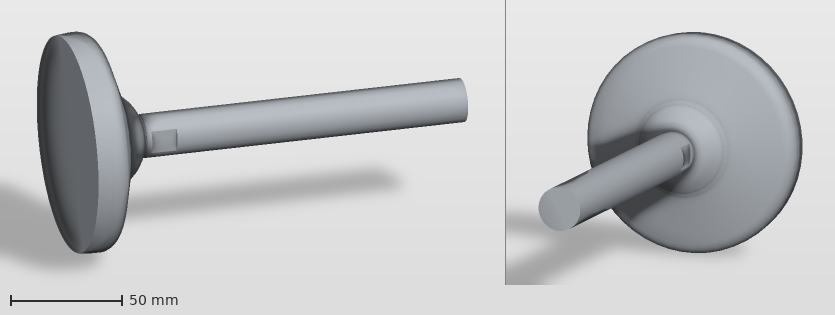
import cadquery as cq
import math

TOTAL_LENGTH = 185.0

SOLE_RADIUS = 49.4
BASE_DIAMETER = 100.0
BASE_RADIUS = BASE_DIAMETER / 2
SKIRT_HEIGHT = 6.3
BAND_TOP = 9.0
CONE_ANGLE = math.radians(20)
CONE_TOP_RADIUS = 22.4
CONE_TOP_HEIGHT = 23.9
SEAT_RADIUS = 20.4
SEAT_HEIGHT = 25.2

SHOULDER_ARC_RADIUS = (
    (CONE_TOP_HEIGHT - BAND_TOP) * math.cos(CONE_ANGLE)
    - (BASE_RADIUS - CONE_TOP_RADIUS) * math.sin(CONE_ANGLE)
) / (1 - math.sin(CONE_ANGLE))
SHOULDER_RADIUS = BASE_RADIUS - SHOULDER_ARC_RADIUS * (1 - math.sin(CONE_ANGLE))
SHOULDER_HEIGHT = BAND_TOP + SHOULDER_ARC_RADIUS * math.cos(CONE_ANGLE)

ROD_RADIUS = 10.0
NECK_RADIUS = 9.5
DOME_TOP = 33.7
NECK_TOP = 34.5
ROD_RIM_RADIUS = 9.8
ROD_TAPER_LENGTH = 0.7
DOME_SPHERE_RADIUS = 25.0

FLAT_BOTTOM = 36.8
FLAT_LENGTH = 11.8
ACROSS_FLATS = 17.0


def revolve_about_y(outline):
    """Turn a closed half profile into a solid around the Y axis."""
    return outline.close().revolve(360, (0, 0, 0), (0, 1, 0))


def make_base():
    """Conical base plate with a rounded shoulder and a flat central seat."""
    outline = (
        cq.Workplane("XY")
        .lineTo(SOLE_RADIUS, 0)
        .lineTo(BASE_RADIUS, SKIRT_HEIGHT)
        .lineTo(BASE_RADIUS, BAND_TOP)
        .tangentArcPoint((SHOULDER_RADIUS, SHOULDER_HEIGHT), relative=False)
        .lineTo(CONE_TOP_RADIUS, CONE_TOP_HEIGHT)
        .lineTo(SEAT_RADIUS, SEAT_HEIGHT)
        .lineTo(0, SEAT_HEIGHT)
    )
    return revolve_about_y(outline)


def make_wrench_flat_cutters():
    """Two blocks that leave parallel flats facing -X and +X."""
    cutter_depth = ROD_RADIUS
    cutter_offset = (ACROSS_FLATS + cutter_depth) / 2
    return (
        cq.Workplane("XY")
        .pushPoints([
            (side * cutter_offset, FLAT_BOTTOM + FLAT_LENGTH / 2)
            for side in (-1, 1)
        ])
        .rect(cutter_depth, FLAT_LENGTH)
        .extrude(ROD_RADIUS, both=True)
    )


def make_stud():
    """Rod with a spherical dome foot, a short neck and wrench flats."""
    outline = (
        cq.Workplane("XY")
        .moveTo(0, SEAT_HEIGHT)
        .lineTo(SEAT_RADIUS, SEAT_HEIGHT)
        .radiusArc((NECK_RADIUS, DOME_TOP), -DOME_SPHERE_RADIUS)
        .lineTo(NECK_RADIUS, NECK_TOP)
        .lineTo(ROD_RIM_RADIUS, NECK_TOP)
        .lineTo(ROD_RADIUS, NECK_TOP + ROD_TAPER_LENGTH)
        .lineTo(ROD_RADIUS, TOTAL_LENGTH)
        .lineTo(0, TOTAL_LENGTH)
    )
    return revolve_about_y(outline).cut(make_wrench_flat_cutters())


base = make_base()
stud = make_stud()

result = cq.Compound.makeCompound([base.val(), stud.val()])